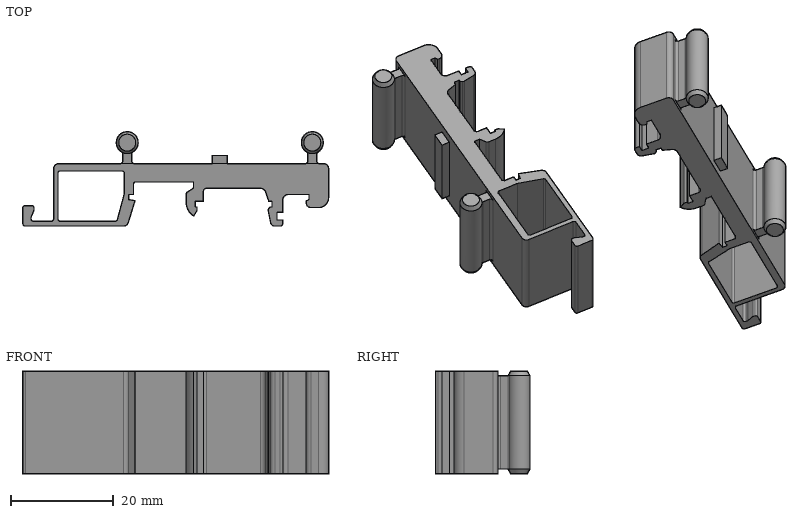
import cadquery as cq
import math

LENGTH = 59.6
DEPTH = 18.43
HEIGHT = 20.0
BACK = 12.2
FLOOR = 1.0
BOX_LEFT = 6.0
BACK_RADIUS = 1.0
SMALL_RADIUS = 0.4

SPAN_FRONT = 8.6
RECESS_FRONT = 7.36
NOTCH_BACK = 6.15
NOTCH_FRONT = 5.2
SLOT_BACK = 4.85
SLOT_FRONT = 3.75

HOLLOW_LEFT = 6.87
HOLLOW_RIGHT = 19.75
HOLLOW_BACK = 10.75
HOLLOW_SLOPE_START = 6.3
HOLLOW_FRONT_RIGHT = 18.33

PIN_RADIUS = 2.15
PIN_TIP_RADIUS = 1.65
PIN_TAPER = 0.9
PIN_Y = DEPTH - PIN_RADIUS
PIN_X = (20.35, 56.4)
NECK_WIDTH = 1.8
NECK_BASE_RADIUS = 0.5
NECK_TOP_RADIUS = 0.4
EMBED = 0.2

TAB_LEFT = 36.87
TAB_WIDTH = 3.0
TAB_DEPTH = 1.6
TAB_INSET = 2.0


def rounded_outline(corners):
    """Closed XY outline from (x, y, corner radius) entries; radius 0 is sharp."""
    sections = []
    for i, (x, y, radius) in enumerate(corners):
        corner = cq.Vector(x, y)
        if radius == 0:
            sections.append((corner,))
            continue
        before = corners[i - 1]
        after = corners[(i + 1) % len(corners)]
        to_before = (cq.Vector(before[0], before[1]) - corner).normalized()
        to_after = (cq.Vector(after[0], after[1]) - corner).normalized()
        half_angle = to_before.getAngle(to_after) / 2
        setback = radius / math.tan(half_angle)
        bulge = radius / math.sin(half_angle) - radius
        middle = corner + (to_before + to_after).normalized() * bulge
        sections.append((corner + to_before * setback, middle, corner + to_after * setback))

    outline = cq.Workplane("XY").moveTo(*sections[0][-1].toTuple()[:2])
    for section in sections[1:] + sections[:1]:
        outline = outline.lineTo(section[0].x, section[0].y)
        if len(section) > 1:
            outline = outline.threePointArc(section[1].toTuple()[:2], section[2].toTuple()[:2])
    return outline.close()




def hook_corners():
    """Hook at the left end of the front wall, ending at the box wall."""
    top = 4.0
    tip_right = 2.2
    tip_slope_start = 3.1
    throat = 1.65
    throat_top = 1.75
    throat_radius = 0.5
    slope_radius = 0.3
    outer_radius = 0.5
    return [
        (BOX_LEFT, FLOOR, SMALL_RADIUS),
        (throat, FLOOR, SMALL_RADIUS),
        (throat, throat_top, throat_radius),
        (tip_right, tip_slope_start, slope_radius),
        (tip_right, top, SMALL_RADIUS),
        (0, top, SMALL_RADIUS),
        (0, 0, outer_radius),
    ]


def box_right_corners():
    """Leaning right side of the box with its notch."""
    foot = 20.35
    foot_radius = 1.0
    nose = 21.9
    nose_y = 5.0
    nose_radius = 0.1
    notch_bottom = 20.65
    side = 21.6
    return [
        (foot, 0, foot_radius),
        (nose, nose_y, nose_radius),
        (notch_bottom, NOTCH_FRONT, 0),
        (notch_bottom, NOTCH_BACK, 0),
        (side, NOTCH_BACK, 0),
        (side, SPAN_FRONT, SMALL_RADIUS),
    ]


def tongue_corners():
    """Pointed tongue with a curved left flank and a slot on its right."""
    root_left = 33.25
    root_left_front = 7.45
    flank = 31.82
    shoulder_y = 6.5
    shoulder_radius = 0.6
    flank_end = 2.95
    flank_radius = 3.2
    tip = 33.3
    tip_y = 1.95
    barb = 33.95
    barb_y = 3.05
    barb_radius = 0.3
    slot_bottom = 33.6
    root_right = 35.2
    root_radius = 0.6
    return [
        (root_left, SPAN_FRONT, 0),
        (root_left, root_left_front, 0),
        (flank, shoulder_y, shoulder_radius),
        (flank, flank_end, flank_radius),
        (tip, tip_y, 0),
        (barb, barb_y, barb_radius),
        (barb, SLOT_FRONT, 0),
        (slot_bottom, SLOT_FRONT, 0),
        (slot_bottom, SLOT_BACK, 0),
        (root_right, SLOT_BACK, 0),
        (root_right, RECESS_FRONT, root_radius),
    ]


def catch_corners():
    """Catch with a slot on each side."""
    root_left = 47.05
    root_radius = 1.0
    left_slot_edge_back = 47.9
    left_slot_edge_front = 48.15
    left_slot_bottom = 48.5
    nose = 47.75
    nose_y = 3.2
    nose_radius = 0.4
    foot_left = 48.4
    foot_left_radius = 0.85
    foot_right_radius = 0.5
    right_side = 50.65
    right_slot_bottom = 49.55
    right_slot_front = 1.24
    right_slot_back = 2.7
    channel_radius = 1.05
    return [
        (root_left, RECESS_FRONT, root_radius),
        (left_slot_edge_back, SLOT_BACK, 0),
        (left_slot_bottom, SLOT_BACK, 0),
        (left_slot_bottom, SLOT_FRONT, 0),
        (left_slot_edge_front, SLOT_FRONT, 0),
        (nose, nose_y, nose_radius),
        (foot_left, 0, foot_left_radius),
        (right_side, 0, foot_right_radius),
        (right_side, right_slot_front, 0),
        (right_slot_bottom, right_slot_front, 0),
        (right_slot_bottom, right_slot_back, 0),
        (right_side, right_slot_back, 0),
        (right_side, NOTCH_BACK, channel_radius),
    ]


def end_corners():
    """Right end: inward lip closing the channel, then the rounded outer side."""
    channel_right = 55.75
    lip = 55.2
    lip_back = 4.95
    lip_front = 3.6
    lip_radius = 0.95
    outer_radius = 2.0
    return [
        (channel_right, NOTCH_BACK, 0),
        (channel_right, NOTCH_FRONT, 0),
        (lip, lip_back, 0),
        (lip, lip_front, lip_radius),
        (LENGTH, lip_front, outer_radius),
        (LENGTH, BACK, BACK_RADIUS),
    ]


def make_body():
    corners = hook_corners() + box_right_corners() + tongue_corners() + catch_corners() + end_corners()
    corners.append((BOX_LEFT, BACK, BACK_RADIUS))
    return rounded_outline(corners).extrude(HEIGHT)


def make_hollow():
    corners = [
        (HOLLOW_LEFT, FLOOR, SMALL_RADIUS),
        (HOLLOW_FRONT_RIGHT, FLOOR, SMALL_RADIUS),
        (HOLLOW_RIGHT, HOLLOW_SLOPE_START, 0),
        (HOLLOW_RIGHT, HOLLOW_BACK, SMALL_RADIUS),
        (HOLLOW_LEFT, HOLLOW_BACK, SMALL_RADIUS),
    ]
    return rounded_outline(corners).extrude(HEIGHT)


def make_pin(x):
    """Vertical pin with a cone at each end."""
    return (
        cq.Workplane("XZ", origin=(x, PIN_Y, 0))
        .polyline([
            (0, 0),
            (-PIN_TIP_RADIUS, 0),
            (-PIN_RADIUS, PIN_TAPER),
            (-PIN_RADIUS, HEIGHT - PIN_TAPER),
            (-PIN_TIP_RADIUS, HEIGHT),
            (0, HEIGHT),
        ])
        .close()
        .revolve(360, (0, 0), (0, 1))
    )


def make_neck(x):
    """Web from the back face to a pin, blended by arcs at both ends."""
    half = NECK_WIDTH / 2
    reach = PIN_RADIUS + NECK_TOP_RADIUS
    drop = math.sqrt(reach ** 2 - (half + NECK_TOP_RADIUS) ** 2)
    arc_start = PIN_Y - drop
    touch_x = (half + NECK_TOP_RADIUS) * PIN_RADIUS / reach
    touch_y = PIN_Y - drop * PIN_RADIUS / reach
    base = half + NECK_BASE_RADIUS
    outline = (
        cq.Workplane("XY", origin=(x, 0, PIN_TAPER))
        .moveTo(-base, BACK - EMBED)
        .lineTo(base, BACK - EMBED)
        .lineTo(base, BACK)
        .radiusArc((half, BACK + NECK_BASE_RADIUS), NECK_BASE_RADIUS)
        .lineTo(half, arc_start)
        .radiusArc((touch_x, touch_y), NECK_TOP_RADIUS)
        .lineTo(0, PIN_Y)
        .lineTo(-touch_x, touch_y)
        .radiusArc((-half, arc_start), NECK_TOP_RADIUS)
        .lineTo(-half, BACK + NECK_BASE_RADIUS)
        .radiusArc((-base, BACK), NECK_BASE_RADIUS)
        .close()
    )
    return outline.extrude(HEIGHT - 2 * PIN_TAPER)


def make_tab():
    """Rectangular tab on the back face, set in from both ends of the body."""
    return cq.Workplane("XY").box(
        TAB_WIDTH, TAB_DEPTH + EMBED, HEIGHT - 2 * TAB_INSET, centered=False
    ).translate((TAB_LEFT, BACK - EMBED, TAB_INSET))


result = make_body().cut(make_hollow()).union(make_tab())
for pin_x in PIN_X:
    result = result.union(make_neck(pin_x)).union(make_pin(pin_x))